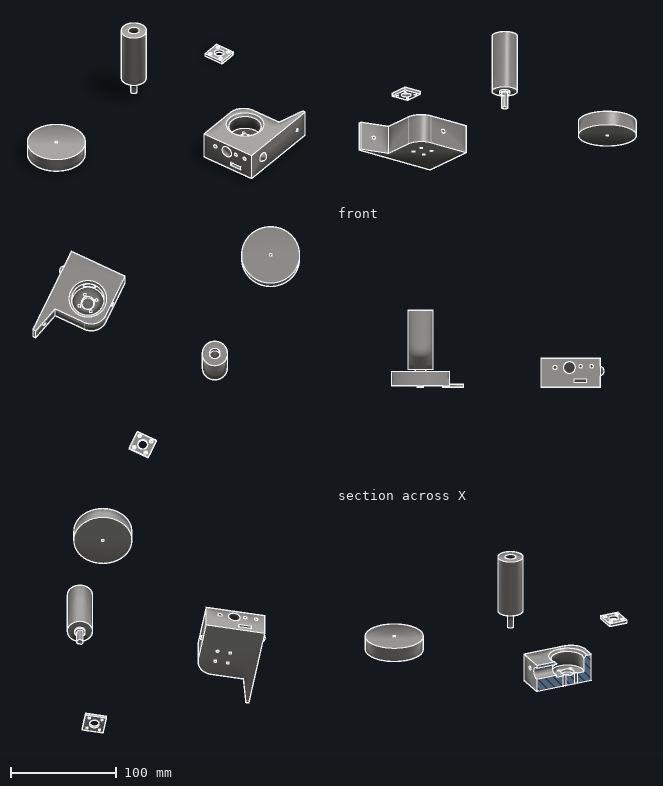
import cadquery as cq

DISC_DIAMETER = 55.0
DISC_BOTTOM = 1.3
DISC_HEIGHT = 14.0
DISC_HOLE_DIAMETER = 2.5

MOTOR_Y = 122.2
MOTOR_DIAMETER = 24.0
MOTOR_TOP = 73.0
MOTOR_BOTTOM = 16.7
MOTOR_SOCKET_DIAMETER = 10.0
MOTOR_SOCKET_DEPTH = 10.0
COLLAR_DIAMETER = 10.0
COLLAR_HEIGHT = 1.8
SHAFT_DIAMETER = 6.0
SHAFT_BOTTOM = 0.0
SHAFT_FLAT_OFFSET = 2.3
SHAFT_FLAT_TOP = 11.5

SCREW_SPACING = 12.0

PLATE_X = 30.8
PLATE_Y = 215.8
PLATE_LENGTH = 20.2
PLATE_WIDTH = 18.2
PLATE_THICKNESS = 3.0
PLATE_BORE_DIAMETER = 9.0
PLATE_SCREW_DIAMETER = 2.0
PLATE_COUNTERSINK_DIAMETER = 3.3
COUNTERSINK_ANGLE = 90

HOUSING_LEFT = 113.8
HOUSING_RIGHT = 170.1
HOUSING_FRONT = 80.8
HOUSING_BACK = 138.0
HOUSING_HEIGHT = 27.5
CORNER_RADIUS = 15.1
WING_TIP_Y = 165.3
WING_ROOT_X = 159.8
WING_TIP_X = 167.0

CUP_EDGE_DISTANCE = 22.2
CUP_X = HOUSING_LEFT + CUP_EDGE_DISTANCE
CUP_Y = HOUSING_BACK - CUP_EDGE_DISTANCE
CUP_DIAMETER = 30.8
CUP_RIM_DIAMETER = 35.5
CUP_FLOOR = 11.0
RIM_DEPTH = (CUP_RIM_DIAMETER - CUP_DIAMETER) / 2
FLOOR_RECESS_DIAMETER = 11.0
FLOOR_RECESS_TOP_DIAMETER = 12.5
FLOOR_RECESS_DEPTH = 2.5
FLOOR_SCREW_DIAMETER = 2.5

FRONT_HOLE_DEPTH = 10.0
PORT_X = 140.9
PORT_Z = 18.7
PORT_DIAMETER = 11.0
PORT_DEPTH = CUP_Y - HOUSING_FRONT
PIN_HOLE_X = 127.2
PIN_HOLE_DIAMETER = 3.8
LED_HOLE_XS = (151.5, 161.8)
LED_HOLE_Z = 20.0
LED_HOLE_DIAMETER = 3.3
SLOT_CENTRE_X = 151.2
SLOT_CENTRE_Z = 6.3
SLOT_LENGTH = 11.9
SLOT_HEIGHT = 3.3

SIDE_HOLE_Y = 108.0
SIDE_HOLE_Z = 15.5
SIDE_HOLE_DIAMETER = 3.8
SIDE_HOLE_DEPTH = 10.0
WING_HOLE_Y = 152.7
WING_HOLE_Z = 13.6
WING_HOLE_DIAMETER = 3.0

BUTTON_Y = 98.2
BUTTON_Z = 15.5
BUTTON_DIAMETER = 9.0
BUTTON_HEIGHT = 3.5


def cylinder_z(x, y, bottom, diameter, height):
    """Upright cylinder standing on the level 'bottom'."""
    return cq.Workplane("XY", origin=(x, y, bottom)).circle(diameter / 2).extrude(height)


def cylinder_x(x, y, z, diameter, length):
    """Cylinder running from x toward +X."""
    return cq.Workplane("YZ", origin=(x, y, z)).circle(diameter / 2).extrude(length)


def front_hole(x, z, diameter, depth=FRONT_HOLE_DEPTH):
    """Hole cutter entering the front face toward +Y."""
    plane = cq.Workplane("XZ", origin=(x, HOUSING_FRONT, z))
    return plane.circle(diameter / 2).extrude(-depth)


def make_disc():
    disc = cylinder_z(0, 0, DISC_BOTTOM, DISC_DIAMETER, DISC_HEIGHT)
    return disc.cut(cylinder_z(0, 0, DISC_BOTTOM, DISC_HOLE_DIAMETER, DISC_HEIGHT))


def make_shaft():
    shaft = cylinder_z(0, MOTOR_Y, SHAFT_BOTTOM, SHAFT_DIAMETER, MOTOR_BOTTOM - SHAFT_BOTTOM)
    flat_cutter = cq.Workplane("XY", origin=(0, MOTOR_Y + SHAFT_FLAT_OFFSET, SHAFT_BOTTOM)).box(
        SHAFT_DIAMETER, SHAFT_DIAMETER, SHAFT_FLAT_TOP - SHAFT_BOTTOM, centered=(True, False, False)
    )
    return shaft.cut(flat_cutter)


def make_motor():
    can = cylinder_z(0, MOTOR_Y, MOTOR_BOTTOM, MOTOR_DIAMETER, MOTOR_TOP - MOTOR_BOTTOM)
    socket_bottom = MOTOR_TOP - MOTOR_SOCKET_DEPTH
    socket = cylinder_z(0, MOTOR_Y, socket_bottom, MOTOR_SOCKET_DIAMETER, MOTOR_SOCKET_DEPTH)
    collar = cylinder_z(0, MOTOR_Y, MOTOR_BOTTOM - COLLAR_HEIGHT, COLLAR_DIAMETER, COLLAR_HEIGHT)
    return can.cut(socket).union(collar).union(make_shaft())


def make_plate():
    plate = cq.Workplane("XY", origin=(PLATE_X, PLATE_Y, 0)).box(
        PLATE_LENGTH, PLATE_WIDTH, PLATE_THICKNESS, centered=(True, True, False)
    )
    plate = plate.cut(cylinder_z(PLATE_X, PLATE_Y, 0, PLATE_BORE_DIAMETER, PLATE_THICKNESS))
    corners = plate.faces(">Z").workplane(origin=(PLATE_X, PLATE_Y, PLATE_THICKNESS))
    corners = corners.rect(SCREW_SPACING, SCREW_SPACING, forConstruction=True).vertices()
    return corners.cskHole(PLATE_SCREW_DIAMETER, PLATE_COUNTERSINK_DIAMETER, COUNTERSINK_ANGLE)


def make_housing_block():
    return (
        cq.Workplane("XY")
        .moveTo(HOUSING_LEFT, HOUSING_FRONT)
        .lineTo(HOUSING_RIGHT, HOUSING_FRONT)
        .lineTo(HOUSING_RIGHT, WING_TIP_Y)
        .lineTo(WING_TIP_X, WING_TIP_Y)
        .lineTo(WING_ROOT_X, HOUSING_BACK)
        .lineTo(HOUSING_LEFT + CORNER_RADIUS, HOUSING_BACK)
        .radiusArc((HOUSING_LEFT, HOUSING_BACK - CORNER_RADIUS), -CORNER_RADIUS)
        .close()
        .extrude(HOUSING_HEIGHT)
    )


def make_cup_cutter():
    """Chamfered cup with a tapered round recess and four screw holes in its floor."""
    cup = (
        cq.Workplane("XZ", origin=(CUP_X, CUP_Y, 0))
        .moveTo(0, CUP_FLOOR)
        .lineTo(CUP_DIAMETER / 2, CUP_FLOOR)
        .lineTo(CUP_DIAMETER / 2, HOUSING_HEIGHT - RIM_DEPTH)
        .lineTo(CUP_RIM_DIAMETER / 2, HOUSING_HEIGHT)
        .lineTo(0, HOUSING_HEIGHT)
        .close()
        .revolve(360, (0, 0, 0), (0, 1, 0))
    )
    recess_bottom = CUP_FLOOR - FLOOR_RECESS_DEPTH
    recess = cq.Workplane(
        cq.Solid.makeCone(
            FLOOR_RECESS_DIAMETER / 2,
            FLOOR_RECESS_TOP_DIAMETER / 2,
            FLOOR_RECESS_DEPTH,
            pnt=cq.Vector(CUP_X, CUP_Y, recess_bottom),
        )
    )
    corners = cq.Workplane("XY", origin=(CUP_X, CUP_Y, 0))
    corners = corners.rect(SCREW_SPACING, SCREW_SPACING, forConstruction=True).vertices()
    screws = corners.circle(FLOOR_SCREW_DIAMETER / 2).extrude(CUP_FLOOR)
    return cup.union(recess).union(screws)


def make_housing():
    housing = make_housing_block().cut(make_cup_cutter())

    housing = housing.cut(front_hole(PORT_X, PORT_Z, PORT_DIAMETER, PORT_DEPTH))
    housing = housing.cut(front_hole(PIN_HOLE_X, PORT_Z, PIN_HOLE_DIAMETER))
    for x in LED_HOLE_XS:
        housing = housing.cut(front_hole(x, LED_HOLE_Z, LED_HOLE_DIAMETER))
    slot_plane = cq.Workplane("XZ", origin=(SLOT_CENTRE_X, HOUSING_FRONT, SLOT_CENTRE_Z))
    housing = housing.cut(slot_plane.rect(SLOT_LENGTH, SLOT_HEIGHT).extrude(-FRONT_HOLE_DEPTH))

    side_hole = cylinder_x(HOUSING_LEFT, SIDE_HOLE_Y, SIDE_HOLE_Z, SIDE_HOLE_DIAMETER, SIDE_HOLE_DEPTH)
    wing_length = HOUSING_RIGHT - WING_ROOT_X
    wing_hole = cylinder_x(WING_ROOT_X, WING_HOLE_Y, WING_HOLE_Z, WING_HOLE_DIAMETER, wing_length)
    return housing.cut(side_hole).cut(wing_hole)


def make_button():
    """Dome whose flat base rests on the right face of the housing."""
    base_radius = BUTTON_DIAMETER / 2
    sphere_radius = (base_radius**2 + BUTTON_HEIGHT**2) / (2 * BUTTON_HEIGHT)
    return (
        cq.Workplane("XY", origin=(HOUSING_RIGHT, BUTTON_Y, BUTTON_Z))
        .lineTo(0, base_radius)
        .radiusArc((BUTTON_HEIGHT, 0), sphere_radius)
        .close()
        .revolve(360, (0, 0, 0), (1, 0, 0))
    )


disc = make_disc()
motor = make_motor()
plate = make_plate()
housing = make_housing()
button = make_button()

result = cq.Compound.makeCompound([disc.val(), motor.val(), plate.val(), housing.val(), button.val()])